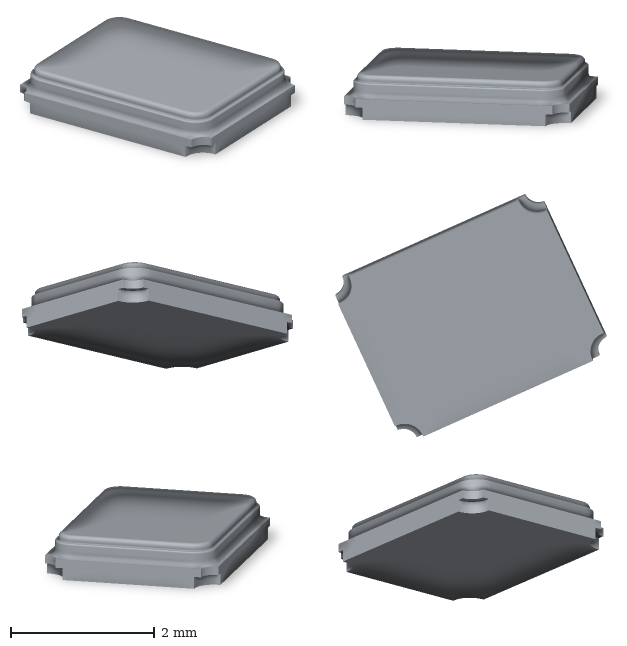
import cadquery as cq
import math

length = 3.2
width = 2.5
height = 0.6

base_height = 0.29
upper_notch_radius = 0.2
pad_notch_radius = 0.275
pad_notch_offset = 0.025

pad_size = 0.425
pad_height = 0.17

corner_center_inset = 0.4
foot_inset = 0.025
wall_inset = 0.1
foot_radius = wall_inset - foot_inset
shoulder_radius = 0.0225
shoulder_height = 0.4975
neck_radius = 0.02
lid_inset = 0.15
lid_radius = 0.06

rim_inner_inset = 0.3

half_length = length / 2
half_width = width / 2
CORNERS = [(sx, sy) for sx in (-1, 1) for sy in (-1, 1)]


def quarter_arc_point(center_x, center_z, radius, x_side, z_side):
    """Middle point of a quarter circle in the quadrant given by the two signs."""
    reach = radius * math.sqrt(0.5)
    return (center_x + x_side * reach, center_z + z_side * reach)


def cover_core():
    """Plain round-cornered block that fills the inside of the swept rim."""
    return (
        cq.Workplane("XY")
        .workplane(offset=base_height)
        .rect(length - 2 * rim_inner_inset, width - 2 * rim_inner_inset)
        .extrude(height - base_height)
        .edges("|Z")
        .fillet(corner_center_inset - rim_inner_inset)
    )


def cover_profile():
    """Cross-section of the cover rim on the -Y side, drawn in the YZ plane at X = 0."""
    side = -half_width
    foot_y = side + foot_inset
    wall_y = side + wall_inset
    lid_y = side + lid_inset
    inner_y = side + rim_inner_inset
    shoulder_y = wall_y + shoulder_radius
    shoulder_bottom = shoulder_height - shoulder_radius
    foot_top = base_height + foot_radius
    neck_top = shoulder_height + neck_radius
    lid_round_bottom = height - lid_radius
    return (
        cq.Workplane("YZ")
        .moveTo(inner_y, base_height)
        .lineTo(foot_y, base_height)
        .threePointArc(quarter_arc_point(foot_y, foot_top, foot_radius, 1, -1), (wall_y, foot_top))
        .lineTo(wall_y, shoulder_bottom)
        .threePointArc(
            quarter_arc_point(shoulder_y, shoulder_bottom, shoulder_radius, -1, 1),
            (shoulder_y, shoulder_height),
        )
        .lineTo(lid_y - neck_radius, shoulder_height)
        .threePointArc(
            quarter_arc_point(lid_y - neck_radius, neck_top, neck_radius, 1, -1),
            (lid_y, neck_top),
        )
        .lineTo(lid_y, lid_round_bottom)
        .threePointArc(
            quarter_arc_point(lid_y + lid_radius, lid_round_bottom, lid_radius, -1, 1),
            (lid_y + lid_radius, height),
        )
        .lineTo(inner_y, height)
        .close()
    )


def make_cover():
    """Stepped, round-cornered cover on top of the base."""
    core = cover_core()
    rim_path = core.faces("<Z").wires()
    rim = cover_profile().sweep(rim_path)
    return rim.union(core)


def at_corner(sx, sy, inset):
    """Sketch plane on Z = 0, moved to a corner of the base and then inward by the inset."""
    return cq.Workplane("XY").center(sx * (half_length - inset), sy * (half_width - inset))


def upper_notch(sx, sy):
    """Round notch centred on a corner; it also trims the foot of the cover."""
    return at_corner(sx, sy, 0).circle(upper_notch_radius).extrude(height)


def pad_notch(sx, sy):
    """Wider notch through a pad; a short straight stretch runs from the round to each side."""
    span = 2 * (pad_notch_radius + pad_notch_offset)
    return at_corner(sx, sy, 0).rect(span, span).extrude(pad_height).edges("|Z").fillet(pad_notch_radius)


def pad_blank(sx, sy):
    """Square corner block that holds one pad and its notch."""
    return at_corner(sx, sy, pad_size / 2).rect(pad_size, pad_size).extrude(pad_height)


def make_pad(sx, sy):
    """One terminal pad, flush with the two sides and the underside of the base."""
    return pad_blank(sx, sy).cut(pad_notch(sx, sy))


def make_package():
    """Base and cover in one piece, cleared for the notches and the pads at the corners."""
    base = cq.Workplane("XY").rect(length, width).extrude(base_height)
    package = base.union(make_cover())
    for sx, sy in CORNERS:
        package = package.cut(upper_notch(sx, sy)).cut(pad_blank(sx, sy))
    return package


package = make_package()
pads = [make_pad(sx, sy) for sx, sy in CORNERS]

result = cq.Compound.makeCompound([package.val(), *[pad.val() for pad in pads]])